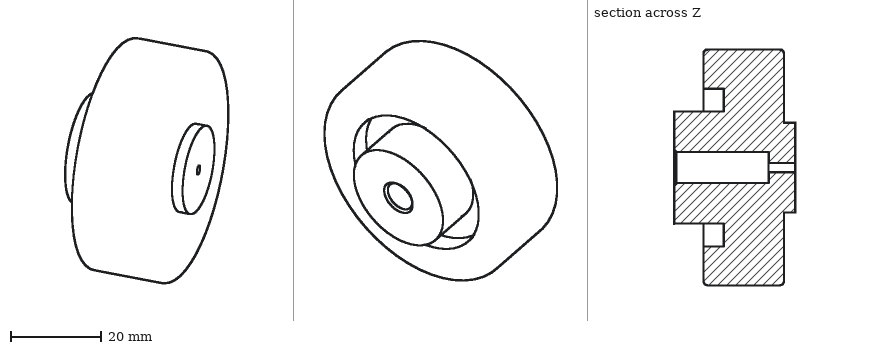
import cadquery as cq

wheel_diameter = 52.5
wheel_width = 17.95
rim_fillet = 1.0

long_hub_diameter = 25.0
long_hub_length = 6.5
short_hub_diameter = 20.0
short_hub_length = 2.5

recess_diameter = 35.0
recess_depth = 4.5

bore_diameter = 6.8
bore_depth = 21
bore_chamfer = 0.6
through_hole_diameter = 2.0

wheel_left = -wheel_width / 2
wheel_right = wheel_width / 2
hub_left = wheel_left - long_hub_length
hub_right = wheel_right + short_hub_length


def cylinder(diameter, x_start, x_end):
    """Solid cylinder along X between two positions."""
    return cq.Workplane("YZ").workplane(offset=x_start).circle(diameter / 2).extrude(x_end - x_start)


wheel = cylinder(wheel_diameter, wheel_left, wheel_right).edges().fillet(rim_fillet)

recess_floor = wheel_left + recess_depth
body = wheel.cut(cylinder(recess_diameter, wheel_left, recess_floor))
body = body.union(cylinder(long_hub_diameter, hub_left, recess_floor))
body = body.union(cylinder(short_hub_diameter, wheel_right, hub_right))

bore = cylinder(bore_diameter, hub_left, hub_left + bore_depth)
mouth_radius = bore_diameter / 2 + bore_chamfer
mouth = cq.Workplane(
    cq.Solid.makeCone(
        mouth_radius, bore_diameter / 2, bore_chamfer, cq.Vector(hub_left, 0, 0), cq.Vector(1, 0, 0)
    )
)
through_hole = cylinder(through_hole_diameter, hub_left, hub_right)

result = body.cut(bore).cut(mouth).cut(through_hole)